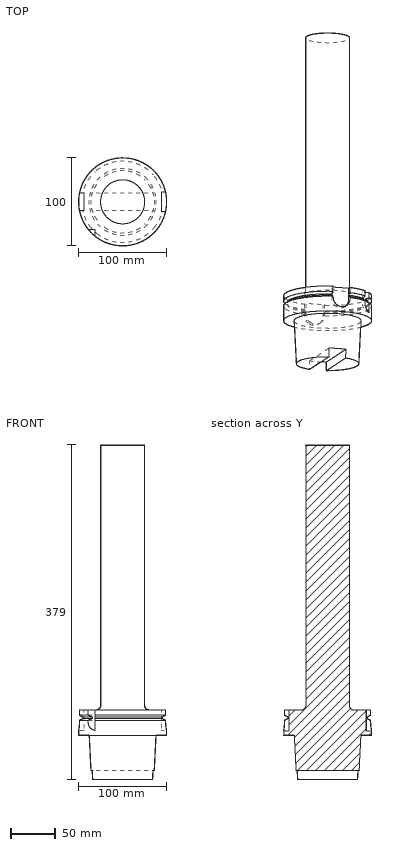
import cadquery as cq
import math


shank_length = 50.0
taper_top_radius = 38.0
taper_ratio = 9.98
drive_slot_width = 20.0
drive_slot_depth = 10.0

flange_radius = 50.0
flange_height = 29.0
groove_center_z = 20.0
groove_floor_width = 1.4
groove_depth = 3.75
groove_flank_angle = 30.0

bar_radius = 25.0
bar_top_z = 329.0
root_fillet = 5.0

pocket_bottom_z = 5.5
keyway_floor_radius = 44.0
narrow_keyway_width = 20.0
wide_keyway_width = 22.0
notch_width = 20.0
notch_corner_radius = 44.0

taper_bottom_radius = taper_top_radius - shank_length / taper_ratio / 2
notch_corner = notch_corner_radius * math.cos(math.radians(45))
cut_margin = 5.0


def make_body():
    """Revolved taper, grooved flange and bar."""
    floor_radius = flange_radius - groove_depth
    flank_height = groove_depth * math.tan(math.radians(groove_flank_angle))
    floor_half = groove_floor_width / 2
    mouth_half = floor_half + flank_height
    return (
        cq.Workplane("XZ")
        .moveTo(0, -shank_length)
        .lineTo(taper_bottom_radius, -shank_length)
        .lineTo(taper_top_radius, 0)
        .lineTo(flange_radius, 0)
        .lineTo(flange_radius, groove_center_z - mouth_half)
        .lineTo(floor_radius, groove_center_z - floor_half)
        .lineTo(floor_radius, groove_center_z + floor_half)
        .lineTo(flange_radius, groove_center_z + mouth_half)
        .lineTo(flange_radius, flange_height)
        .lineTo(bar_radius + root_fillet, flange_height)
        .radiusArc((bar_radius, flange_height + root_fillet), root_fillet)
        .lineTo(bar_radius, bar_top_z)
        .lineTo(0, bar_top_z)
        .close()
        .revolve(360, (0, 0, 0), (0, 1, 0))
    )


def make_rim_pocket(width, center_y, start_x, end_x):
    """Pocket along X, open at the flange top, with a half-round lower end."""
    radius = width / 2
    arc_center_z = pocket_bottom_z + radius
    top_z = flange_height + cut_margin
    return (
        cq.Workplane("YZ", origin=(start_x, 0, 0))
        .moveTo(center_y - radius, top_z)
        .lineTo(center_y - radius, arc_center_z)
        .threePointArc((center_y, pocket_bottom_z), (center_y + radius, arc_center_z))
        .lineTo(center_y + radius, top_z)
        .close()
        .extrude(end_x - start_x)
    )


def make_drive_slot():
    """Slot across the small end of the taper, running through along X."""
    slot_length = 2 * (taper_top_radius + cut_margin)
    return (
        cq.Workplane("XY")
        .box(slot_length, drive_slot_width, drive_slot_depth, centered=(True, True, False))
        .translate((0, 0, -shank_length))
    )


outer_x = flange_radius + cut_margin
narrow_keyway = make_rim_pocket(narrow_keyway_width, 0, -outer_x, -keyway_floor_radius)
wide_keyway = make_rim_pocket(wide_keyway_width, 0, keyway_floor_radius, outer_x)
notch_center_y = -notch_corner - notch_width / 2
notch = make_rim_pocket(notch_width, notch_center_y, -outer_x, -notch_corner)

result = make_body()
for cutter in (narrow_keyway, wide_keyway, notch, make_drive_slot()):
    result = result.cut(cutter)